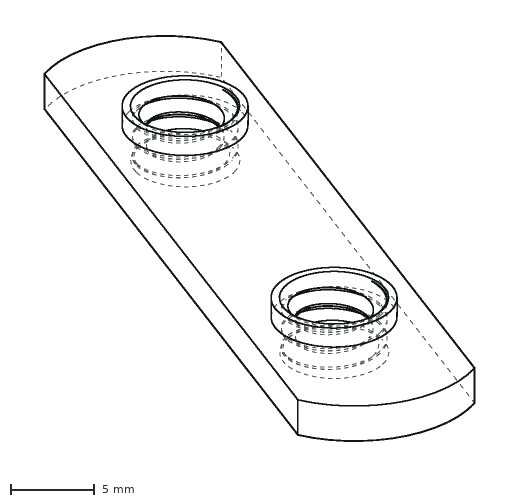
import cadquery as cq
import math

length = 48.0
width = 11.3
thickness = 2.4
end_bulge = 2.4

boss_spacing = 25.4
boss_diameter = 7.55
boss_height = 1.3
top = thickness + boss_height

minor_diameter = 4.65
major_diameter = 6.35
pitch = 1.27
root_flat = 0.15
flank_half_angle = 30.0
thread_start_angle = 155.0
mouth_diameter = 6.55
mouth_cone_angle = 45.0
groove_overlap = 0.1


def make_plate():
    """Flat bar with parallel sides and bowed ends."""
    half_length = length / 2
    half_width = width / 2
    corner = half_length - end_bulge
    return (
        cq.Workplane("XY")
        .moveTo(-corner, -half_width)
        .lineTo(corner, -half_width)
        .threePointArc((half_length, 0), (corner, half_width))
        .lineTo(-corner, half_width)
        .threePointArc((-half_length, 0), (-corner, -half_width))
        .close()
        .extrude(thickness)
    )


def make_bore():
    """Minor-diameter bore with conical lead-ins at both ends."""
    minor_radius = minor_diameter / 2
    mouth_radius = mouth_diameter / 2
    cone_depth = (mouth_radius - minor_radius) / math.tan(math.radians(mouth_cone_angle))
    return (
        cq.Workplane("XZ")
        .moveTo(0, 0)
        .lineTo(mouth_radius, 0)
        .lineTo(minor_radius, cone_depth)
        .lineTo(minor_radius, top - cone_depth)
        .lineTo(mouth_radius, top)
        .lineTo(0, top)
        .close()
        .revolve(360, (0, 0), (0, 1))
    )


def make_thread_groove():
    """Right-handed V groove running out past both ends of the bore."""
    inner_radius = minor_diameter / 2 - groove_overlap
    outer_radius = major_diameter / 2
    half_root = root_flat / 2
    half_mouth = half_root + (outer_radius - inner_radius) * math.tan(math.radians(flank_half_angle))
    start = -pitch
    helix = cq.Wire.makeHelix(pitch, top + 2 * pitch, inner_radius, cq.Vector(0, 0, start))
    return (
        cq.Workplane("XZ")
        .moveTo(inner_radius, start - half_mouth)
        .lineTo(outer_radius, start - half_root)
        .lineTo(outer_radius, start + half_root)
        .lineTo(inner_radius, start + half_mouth)
        .close()
        .sweep(cq.Workplane(obj=helix), isFrenet=True)
    )


def make_threaded_collar():
    """Tapped cylinder through the full height, turned to its thread start angle."""
    collar = cq.Workplane("XY").circle(boss_diameter / 2).extrude(top)
    collar = collar.cut(make_bore()).cut(make_thread_groove())
    return collar.rotate((0, 0, 0), (0, 0, 1), thread_start_angle)


collar = make_threaded_collar()
boss_seat = cq.Workplane("XY").circle(boss_diameter / 2).extrude(thickness)
result = make_plate()
for x in (-boss_spacing / 2, boss_spacing / 2):
    place = (x, 0, 0)
    result = result.cut(boss_seat.translate(place))
    result = result.union(collar.translate(place))